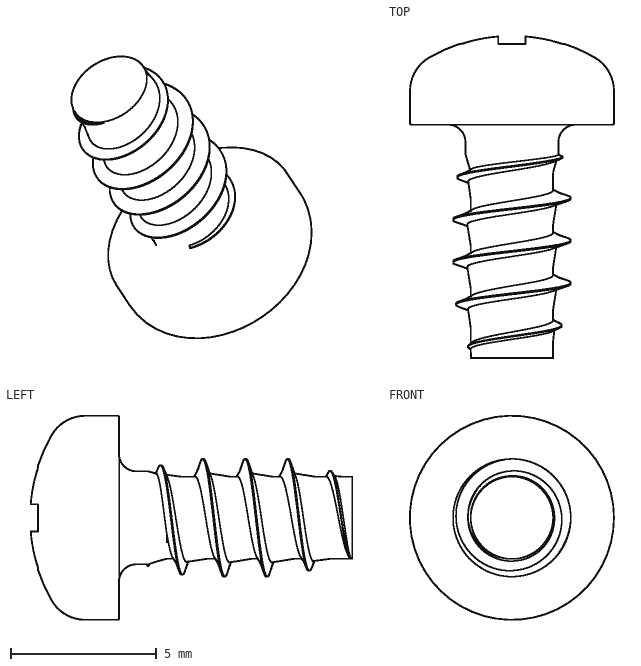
import cadquery as cq
import math


overall_length = 11.03
shank_length = 8.0
head_height = overall_length - shank_length
head_diameter = 7.0
head_radius = head_diameter / 2
rim_height = 1.16
rim_edge_radius = 0.05
dome_radius = 5.68

slot_width = 0.93
slot_depth = 0.25

neck_radius = 1.6
neck_fillet = 0.58
neck_end = -0.99
cone_end = -1.63
core_radius = 1.41

cup_radius = 1.33
cup_depth = 0.09

pitch = 1.46
thread_turns = 5.0
helix_origin = -0.7
run_in_turns = 1.25
run_out_turns = 1.5
crest_radius = 2.02
start_crest_radius = 1.68
end_crest_radius = 1.42
root_sink = 0.02
points_per_turn = 24
stretch_turns = 0.5

crest_half_width = 0.02
crest_height = crest_radius - core_radius
head_flank_foot = (0.29, -root_sink)
head_flank_break = (0.13, 0.26)
tip_flank_toe = (-0.18, 0.12)
ramp_end = (-1.06, -root_sink)
full_section = [
    head_flank_foot,
    head_flank_break,
    (crest_half_width, crest_height),
    (-crest_half_width, crest_height),
    tip_flank_toe,
    ramp_end,
]

slot_corner_radius = slot_width / math.sqrt(2)
dome_center = head_height - math.sqrt(dome_radius**2 - slot_corner_radius**2)
shoulder_rise = rim_height - dome_center
shoulder_radius = ((dome_radius**2 - head_radius**2 - shoulder_rise**2)
                   / (2 * (dome_radius - head_radius)))
shoulder_center_radius = head_radius - shoulder_radius


def head_and_shank():
    """Head, neck, core and cupped tip as one turned profile."""
    tangent_angle = math.atan2(shoulder_rise, shoulder_center_radius)

    def on_shoulder(angle):
        return (shoulder_center_radius + shoulder_radius * math.cos(angle),
                rim_height + shoulder_radius * math.sin(angle))

    def on_dome(angle):
        return (dome_radius * math.cos(angle), dome_center + dome_radius * math.sin(angle))

    diagonal = math.sqrt(0.5)
    fillet_bulge = neck_fillet * (1 - diagonal)
    edge_bulge = rim_edge_radius * (1 - diagonal)
    return (
        cq.Workplane("XY")
        .moveTo(0, -shank_length + cup_depth)
        .lineTo(cup_radius, -shank_length)
        .lineTo(core_radius, -shank_length)
        .lineTo(core_radius, cone_end)
        .lineTo(neck_radius, neck_end)
        .lineTo(neck_radius, -neck_fillet)
        .threePointArc((neck_radius + fillet_bulge, -fillet_bulge), (neck_radius + neck_fillet, 0))
        .lineTo(head_radius - rim_edge_radius, 0)
        .threePointArc((head_radius - edge_bulge, edge_bulge), (head_radius, rim_edge_radius))
        .lineTo(head_radius, rim_height)
        .threePointArc(on_shoulder(tangent_angle / 2), on_shoulder(tangent_angle))
        .threePointArc(on_dome((tangent_angle + math.pi / 2) / 2), on_dome(math.pi / 2))
        .close()
        .revolve(360, (0, 0, 0), (0, 1, 0))
    )


def cross_slot():
    """Two crossing arms with a flat floor, open at the top and running out of the dome."""
    floor = head_height - slot_depth
    arm_height = 2 * slot_depth
    middle = floor + arm_height / 2
    arm = cq.Workplane("XY").box(2 * head_radius, arm_height, slot_width)
    return arm.union(arm.rotate((0, 0, 0), (0, 1, 0), 90)).translate((0, middle, 0))


def crest_position(turn):
    """Y of the crest: it leaves the neck flat and eases into the steady helix."""
    ease_turns = 2 * (helix_origin - neck_end) / pitch
    if turn < ease_turns:
        return neck_end - pitch * turn**2 / (2 * ease_turns)
    return helix_origin - pitch * turn


def thread_growth(turn):
    """Crest height at this turn as a share of the full crest height."""
    run_in = start_crest_radius + (crest_radius - start_crest_radius) * turn / run_in_turns
    turns_left = thread_turns - turn
    run_out = end_crest_radius + (crest_radius - end_crest_radius) * turns_left / run_out_turns
    return (min(crest_radius, run_in, run_out) - core_radius) / crest_height


def thread_section(turn):
    """Corners of the thread section at this turn, as points in space."""
    growth = thread_growth(turn)
    widening = math.sqrt(growth)
    corners = [(offset * widening, height * growth - root_sink * (1 - growth))
               for offset, height in full_section]
    angle = 2 * math.pi * turn
    position = crest_position(turn)
    return [
        cq.Vector((core_radius + height) * math.sin(angle),
                  position + offset,
                  -(core_radius + height) * math.cos(angle))
        for offset, height in corners
    ]


def helical_faces(start_turn, end_turn):
    """Ruled faces joining the section corners over one stretch of the thread."""
    steps = round((end_turn - start_turn) * points_per_turn)
    turns = [start_turn + (end_turn - start_turn) * step / steps for step in range(steps + 1)]
    paths = zip(*[thread_section(turn) for turn in turns])
    helices = [cq.Edge.makeSpline(list(path), parameters=turns) for path in paths]
    neighbours = helices[1:] + helices[:1]
    return [cq.Face.makeRuledSurface(a, b) for a, b in zip(helices, neighbours)]


def thread():
    """Thread solid with its base just inside the core."""
    stretches = round(thread_turns / stretch_turns)
    faces = []
    for index in range(stretches):
        faces += helical_faces(index * stretch_turns, (index + 1) * stretch_turns)
    for turn in (0, thread_turns):
        faces.append(cq.Face.makeFromWires(cq.Wire.makePolygon(thread_section(turn), close=True)))
    return cq.Workplane(obj=cq.Solid.makeSolid(cq.Shell.makeShell(faces)))


def below_tip():
    """Block that trims the end of the thread flush with the tip."""
    size = 2 * head_radius
    return cq.Workplane("XY").box(size, size, size).translate((0, -shank_length - size / 2, 0))


result = head_and_shank().cut(cross_slot()).union(thread()).cut(below_tip())